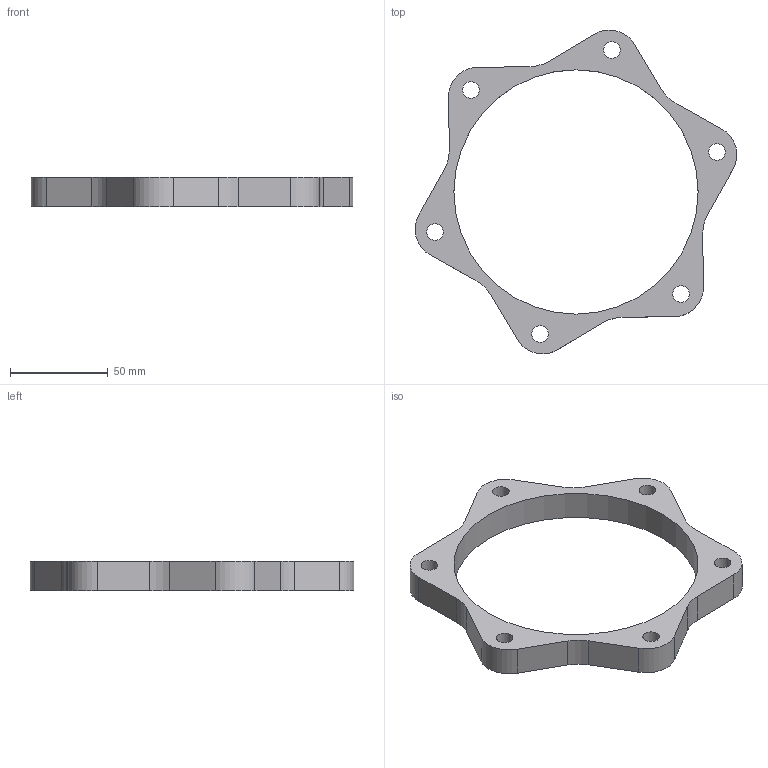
import cadquery as cq
import math

thickness = 15.0
bore_diameter = 125.0

lobe_count = 6
first_lobe_angle = 15.85
lobe_center_radius = 70.0
lobe_radius = 15.0
flank_half_angle = 45.0
valley_radius = 20.0

hole_diameter = 8.5
hole_circle_radius = 75.0

lobe_pitch = 360.0 / lobe_count
normal_angle = 90.0 - flank_half_angle


def polar(radius, angle):
    """Point at a radius and an angle in degrees from the ring axis."""
    return (radius * math.cos(math.radians(angle)), radius * math.sin(math.radians(angle)))


def offset(point, distance, angle):
    """Point moved by a distance along a direction in degrees."""
    step = polar(distance, angle)
    return (point[0] + step[0], point[1] + step[1])


def star_outline():
    """Closed outline of lobe arcs, straight flanks and valley arcs."""
    flank_distance = lobe_center_radius * math.cos(math.radians(normal_angle)) + lobe_radius
    valley_normal_offset = math.radians(normal_angle - lobe_pitch / 2)
    valley_center_radius = (flank_distance + valley_radius) / math.cos(valley_normal_offset)

    start = offset(polar(lobe_center_radius, first_lobe_angle), lobe_radius, first_lobe_angle - normal_angle)
    outline = cq.Workplane("XY").moveTo(*start)
    for i in range(lobe_count):
        lobe_angle = first_lobe_angle + i * lobe_pitch
        next_lobe_angle = lobe_angle + lobe_pitch
        valley_angle = lobe_angle + lobe_pitch / 2
        lobe_center = polar(lobe_center_radius, lobe_angle)
        next_lobe_center = polar(lobe_center_radius, next_lobe_angle)
        valley_center = polar(valley_center_radius, valley_angle)

        leaving_normal = lobe_angle + normal_angle
        arriving_normal = next_lobe_angle - normal_angle
        lobe_tip = polar(lobe_center_radius + lobe_radius, lobe_angle)
        lobe_end = offset(lobe_center, lobe_radius, leaving_normal)
        valley_start = offset(valley_center, -valley_radius, leaving_normal)
        valley_bottom = polar(valley_center_radius - valley_radius, valley_angle)
        valley_end = offset(valley_center, -valley_radius, arriving_normal)
        next_lobe_start = offset(next_lobe_center, lobe_radius, arriving_normal)

        outline = outline.threePointArc(lobe_tip, lobe_end)
        outline = outline.lineTo(*valley_start)
        outline = outline.threePointArc(valley_bottom, valley_end)
        outline = outline.lineTo(*next_lobe_start)
    return outline.close()


def bore():
    """Central through bore."""
    return cq.Workplane("XY").circle(bore_diameter / 2).extrude(thickness)


def mounting_holes():
    """Through holes, one per lobe."""
    centers = [polar(hole_circle_radius, first_lobe_angle + i * lobe_pitch) for i in range(lobe_count)]
    return cq.Workplane("XY").pushPoints(centers).circle(hole_diameter / 2).extrude(thickness)


result = star_outline().extrude(thickness).cut(bore()).cut(mounting_holes())